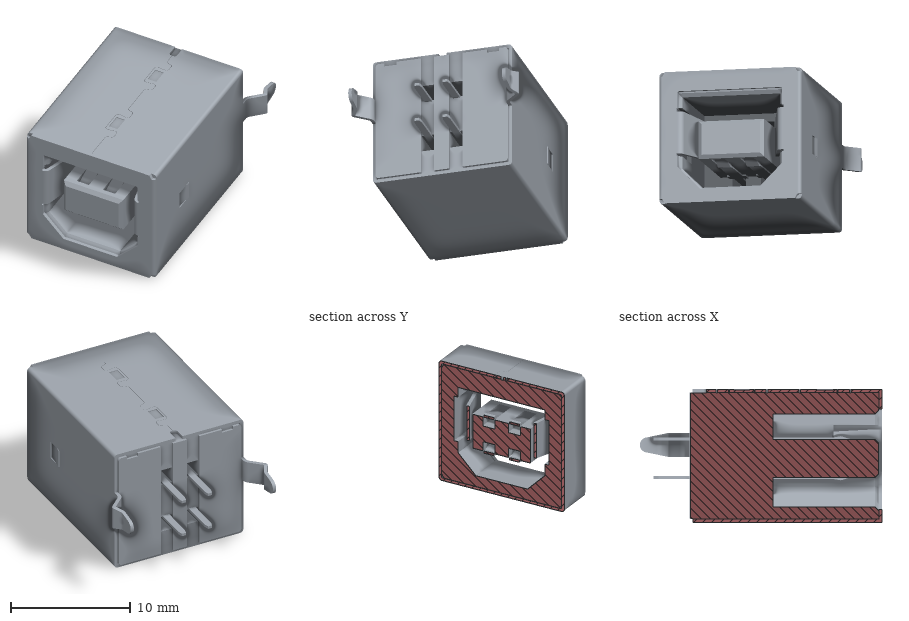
import cadquery as cq
import math


SHELL_WIDTH = 12.23
SHELL_HEIGHT = 11.2
SHELL_LENGTH = 15.91
SHEET = 0.3
INNER_WIDTH = SHELL_WIDTH - 2 * SHEET
INNER_HEIGHT = SHELL_HEIGHT - 2 * SHEET
SIDE_BEND_HEIGHT = 10.45
PLATE_CORNER_X = 5.59

CAVITY_WIDTH = 8.41
CAVITY_TOP = 3.5
CAVITY_BOTTOM = -4.29
CAVITY_CORNER = 1.69
CAVITY_DEPTH = 9.15
LEAD_IN = 0.3
OPENING_WIDTH = 8.98
OPENING_TOP = 3.92
OPENING_BOTTOM = -4.5
OPENING_CORNER = 1.95
OPENING_ROUND = 0.15

FLAP_MID_Z = 0.4
FLAP_HEIGHT = 3.6
FLAP_END_HEIGHT = 3.21
FLAP_BEND_RADIUS = 0.5
FLAP_TURN = math.radians(75)
FLAP_STRAIGHT = 3.85
RELIEF_WIDTH = 9.18
RELIEF_TOP = 2.44
RELIEF_BOTTOM = -1.55
HOUSING_RELIEF_TOP = 2.58
HOUSING_RELIEF_DEPTH = 4.06

OVERALL_LENGTH = 20.32
LEG_MID_Z = 0.9
LEG_WIDTH = 2.0
LEG_TIP_WIDTH = 1.22
LEG_TAPER_START = 17.98
LEG_TIP_START = 19.85
LEG_BEND_OUT = 16.66
LEG_KNEE = 17.88
LEG_BEND_BACK = 18.7
LEG_KNEE_X = 7.23
LEG_END_X = 6.75
LEG_BEND_RADIUS = 0.6
LEG_KNEE_RADIUS = 0.15

SEAM_GAP = 0.03
SEAM_ROUND = 0.26
LOCK_POSITIONS = (4.82, 11.79)
LOBE_REACH = 0.6
HEAD_REACH = 0.57
LOCK_HALF_LENGTH = 2.0
LOBE_HALF_LENGTH = 1.83
NECK_HALF_LENGTH = 0.95
HEAD_HALF_LENGTH = 1.14
LOCK_MARK_WIDTH = 0.8
LOCK_MARK_LENGTH = 1.36
LOCK_MARK_DEPTH = 0.06
SLOT_WIDTH = 0.67
SLOT_LENGTH = 1.15
SLOT_ROUND = 0.25

LATCH_FRONT = 4.45
LATCH_BACK = 6.1
LATCH_BOTTOM = -1.02
LATCH_TOP = 0.57
LATCH_CLEARANCE = 0.05
LATCH_FRONT_X = 5.95
LATCH_BACK_X = 6.18

HOUSING_BACK = 16.13
HOUSING_ROUND = 0.28
NOTCH_INNER_X = 3.98
NOTCH_OUTER_X = 5.04

TONGUE_WIDTH = 5.63
TONGUE_HEIGHT = 3.21
TONGUE_MID_Z = -0.22
TONGUE_TOP = TONGUE_MID_Z + TONGUE_HEIGHT / 2
TONGUE_CHAMFER = 0.3
CONTACT_X = 1.24
CHANNEL_WIDTH = 1.15
WINDOW_TOP = 2.8
GROOVE_START = 1.02
GROOVE_END = 4.06
GROOVE_DEPTH = 0.85
CONTACT_WIDTH = 1.05
CONTACT_THICKNESS = 0.25
CONTACT_START = 1.22
CONTACT_NOSE_Z = 0.7
CONTACT_KINK_Y = 1.73
CONTACT_KINK_Z = 0.98
CONTACT_PEAK_Y = 3.45
CONTACT_PEAK_Z = 1.5
CONTACT_Z = 1.4
SHOULDER_WIDTH = 1.6
SHOULDER_LENGTH = 1.02
PIN_WIDTH = 0.6
PIN_TIP_WIDTH = 0.39
PIN_TAPER = 0.43
PIN_END = 19.18


def block(x_range, y_range, z_range):
    """Box between the given limits."""
    x0, x1 = x_range
    y0, y1 = y_range
    z0, z1 = z_range
    return cq.Workplane("XY").box(x1 - x0, y1 - y0, z1 - z0, centered=False).translate((x0, y0, z0))


def both_sides(body):
    """The body together with its mirror image across the middle plane."""
    return body.union(body.mirror("YZ"))


def extrude_back(sketch, length):
    """Extrude a sketch drawn on an XZ plane toward +y."""
    return sketch.extrude(-length)


def socket_points(width, top, bottom, corner):
    """Socket outline in x and z: a rectangle with its lower corners cut at 45 degrees."""
    half = width / 2
    return [
        (-half, top),
        (half, top),
        (half, bottom + corner),
        (half - corner, bottom),
        (-half + corner, bottom),
        (-half, bottom + corner),
    ]



def shell_tube():
    """Four walls behind the front wall, with rounded long edges."""
    front = cq.Workplane("XZ", origin=(0, SHEET, 0))
    outer = extrude_back(front.rect(SHELL_WIDTH, SHELL_HEIGHT), SHELL_LENGTH - SHEET)
    inner = extrude_back(front.rect(INNER_WIDTH, INNER_HEIGHT), SHELL_LENGTH - SHEET)
    return outer.edges("|Y").fillet(SHEET).cut(inner)


def front_blank():
    """Front wall: side edges bent round into the side walls, the four corners cut back."""
    half_width = SHELL_WIDTH / 2
    half_bend = SIDE_BEND_HEIGHT / 2
    bent = block((-half_width, half_width), (0, 2 * SHEET), (-half_bend, half_bend))
    bent = bent.edges("|Z and <Y").fillet(SHEET)
    bent = bent.intersect(block((-half_width, half_width), (0, SHEET), (-half_bend, half_bend)))
    quarter = [
        (INNER_WIDTH / 2, half_bend),
        (PLATE_CORNER_X, SHELL_HEIGHT / 2),
    ]
    upper = quarter + [(-x, z) for x, z in reversed(quarter)]
    lower = [(-x, -z) for x, z in upper]
    flat = extrude_back(cq.Workplane("XZ").polyline(upper + lower).close(), SHEET)
    return bent.union(flat)


def front_plate():
    """Front wall with the socket opening and the relief slits beside the flaps."""
    outline = socket_points(OPENING_WIDTH, OPENING_TOP, OPENING_BOTTOM, OPENING_CORNER)
    opening = extrude_back(cq.Workplane("XZ").polyline(outline).close(), SHEET)
    opening = opening.edges("|Y").fillet(OPENING_ROUND)
    relief = block(
        (-RELIEF_WIDTH / 2, RELIEF_WIDTH / 2), (0, SHEET), (RELIEF_BOTTOM, RELIEF_TOP))
    return front_blank().cut(opening).cut(relief)


def guide_flap():
    """Left flap: it curls back from the opening edge and then slants toward the tongue."""
    root_x = -RELIEF_WIDTH / 2
    bend_x = -OPENING_WIDTH / 2
    inner_radius = FLAP_BEND_RADIUS - SHEET

    def on_bend(radius, angle):
        return bend_x + radius * math.sin(angle), FLAP_BEND_RADIUS - radius * math.cos(angle)

    def past_bend(radius):
        x, y = on_bend(radius, FLAP_TURN)
        return x + FLAP_STRAIGHT * math.cos(FLAP_TURN), y + FLAP_STRAIGHT * math.sin(FLAP_TURN)

    strip = (
        cq.Workplane("XY", origin=(0, 0, FLAP_MID_Z))
        .moveTo(root_x, 0)
        .lineTo(bend_x, 0)
        .threePointArc(on_bend(FLAP_BEND_RADIUS, FLAP_TURN / 2), on_bend(FLAP_BEND_RADIUS, FLAP_TURN))
        .lineTo(*past_bend(FLAP_BEND_RADIUS))
        .lineTo(*past_bend(inner_radius))
        .lineTo(*on_bend(inner_radius, FLAP_TURN))
        .threePointArc(on_bend(inner_radius, FLAP_TURN / 2), (bend_x, SHEET))
        .lineTo(root_x, SHEET)
        .close()
        .extrude(FLAP_HEIGHT / 2, both=True)
    )
    end_y = past_bend(inner_radius)[1]
    taper = (
        cq.Workplane("YZ", origin=(0, 0, FLAP_MID_Z))
        .polyline([
            (0, -FLAP_HEIGHT / 2),
            (FLAP_BEND_RADIUS, -FLAP_HEIGHT / 2),
            (end_y, -FLAP_END_HEIGHT / 2),
            (end_y, FLAP_END_HEIGHT / 2),
            (FLAP_BEND_RADIUS, FLAP_HEIGHT / 2),
            (0, FLAP_HEIGHT / 2),
        ])
        .close()
        .extrude(-SHELL_WIDTH / 2)
    )
    return strip.intersect(taper)


def mounting_leg():
    """Left leg: a bent strip that narrows to a rounded tip."""
    wall_x = -(SHELL_WIDTH - SHEET) / 2
    start_y = SHELL_LENGTH - SHEET
    path = cq.Wire.makePolygon([
        cq.Vector(wall_x, start_y, LEG_MID_Z),
        cq.Vector(wall_x, LEG_BEND_OUT, LEG_MID_Z),
        cq.Vector(-LEG_KNEE_X, LEG_KNEE, LEG_MID_Z),
        cq.Vector(-LEG_END_X, LEG_BEND_BACK, LEG_MID_Z),
        cq.Vector(-LEG_END_X, OVERALL_LENGTH, LEG_MID_Z),
    ])
    _, bend_out, _, bend_back, _ = sorted(path.Vertices(), key=lambda vertex: vertex.Y)
    path = path.fillet(LEG_BEND_RADIUS, [bend_out, bend_back])
    path = path.fillet(LEG_KNEE_RADIUS, [min(path.Vertices(), key=lambda vertex: vertex.X)])
    strip = (
        cq.Workplane("XY", origin=(0, 0, LEG_MID_Z))
        .add(path)
        .toPending()
        .offset2D(SHEET / 2)
        .extrude(LEG_WIDTH / 2, both=True)
    )
    outline = (
        cq.Workplane("YZ", origin=(0, 0, LEG_MID_Z))
        .moveTo(start_y, -LEG_WIDTH / 2)
        .lineTo(LEG_TAPER_START, -LEG_WIDTH / 2)
        .lineTo(LEG_TIP_START, -LEG_TIP_WIDTH / 2)
        .threePointArc((OVERALL_LENGTH, 0), (LEG_TIP_START, LEG_TIP_WIDTH / 2))
        .lineTo(LEG_TAPER_START, LEG_WIDTH / 2)
        .lineTo(start_y, LEG_WIDTH / 2)
        .close()
        .extrude(-LEG_KNEE_X - SHEET)
    )
    return strip.intersect(outline)


def seam_cut():
    """Thin ribbon along the joint of the two top halves, with dovetail locks."""
    base_z = INNER_HEIGHT / 2
    points = [(SHELL_WIDTH / 2, -SHELL_LENGTH), (0, -SHELL_LENGTH)]
    for lock_y in LOCK_POSITIONS:
        points += [
            (0, lock_y - LOCK_HALF_LENGTH),
            (LOBE_REACH, lock_y - LOBE_HALF_LENGTH),
            (LOBE_REACH, lock_y - NECK_HALF_LENGTH),
            (-HEAD_REACH, lock_y - HEAD_HALF_LENGTH),
            (-HEAD_REACH, lock_y + HEAD_HALF_LENGTH),
            (LOBE_REACH, lock_y + NECK_HALF_LENGTH),
            (LOBE_REACH, lock_y + LOBE_HALF_LENGTH),
            (0, lock_y + LOCK_HALF_LENGTH),
        ]
    points += [(0, 2 * SHELL_LENGTH), (SHELL_WIDTH / 2, 2 * SHELL_LENGTH)]
    right_half = cq.Workplane("XY", origin=(0, 0, base_z)).polyline(points).close().extrude(SHEET)
    right_half = right_half.edges("|Z").fillet(SEAM_ROUND)
    widened = right_half.faces("<Z").wires().toPending().offset2D(SEAM_GAP).extrude(SHEET)
    near_seam = block(
        (-2 * LOBE_REACH, 2 * LOBE_REACH), (SHEET, SHELL_LENGTH), (base_z, SHELL_HEIGHT / 2))
    return widened.cut(right_half).intersect(near_seam)


def lock_mark(lock_y):
    """Shallow rectangular mark pressed into the top of a lock."""
    top = SHELL_HEIGHT / 2
    return block(
        (-LOCK_MARK_WIDTH / 2, LOCK_MARK_WIDTH / 2),
        (lock_y - LOCK_MARK_LENGTH / 2, lock_y + LOCK_MARK_LENGTH / 2),
        (top - LOCK_MARK_DEPTH, top),
    )


def back_slot():
    """Round-cornered slot at the back end of the seam."""
    slot = block(
        (-SLOT_WIDTH / 2, SLOT_WIDTH / 2),
        (SHELL_LENGTH - SLOT_LENGTH, SHELL_LENGTH),
        (INNER_HEIGHT / 2, SHELL_HEIGHT / 2),
    )
    return slot.edges("|Z and <Y").fillet(SLOT_ROUND)


def build_shell():
    walls = shell_tube().cut(seam_cut()).cut(back_slot())
    for lock_y in LOCK_POSITIONS:
        walls = walls.cut(lock_mark(lock_y))
    half = SHELL_WIDTH / 2
    latch_windows = block((-half, half), (LATCH_FRONT, LATCH_BACK), (LATCH_BOTTOM, LATCH_TOP))
    walls = walls.cut(latch_windows)
    walls = walls.union(both_sides(mounting_leg()))
    front = front_plate().union(both_sides(guide_flap()))
    return walls.union(front, clean=False)



def contact_profile():
    """Side shape of an upper contact: a ramp over a peak, then a straight tail."""
    rise = CONTACT_THICKNESS / 2
    center = [
        (CONTACT_START, CONTACT_NOSE_Z),
        (CONTACT_KINK_Y, CONTACT_KINK_Z),
        (CONTACT_PEAK_Y, CONTACT_PEAK_Z),
        (GROOVE_END, CONTACT_Z),
        (PIN_END, CONTACT_Z),
    ]
    upper = [(y, z + rise) for y, z in center]
    lower = [(y, z - rise) for y, z in reversed(center)]
    return cq.Workplane("YZ").polyline(upper + lower).close().extrude(SHOULDER_WIDTH / 2, both=True)


def contact_plan():
    """Contact seen along z: blade, wide shoulder, then a pin with a tapered tip."""
    shoulder_start = CAVITY_DEPTH - SHOULDER_LENGTH
    right = [
        (CONTACT_WIDTH / 2, CONTACT_START),
        (CONTACT_WIDTH / 2, shoulder_start),
        (SHOULDER_WIDTH / 2, shoulder_start),
        (SHOULDER_WIDTH / 2, CAVITY_DEPTH),
        (PIN_WIDTH / 2, CAVITY_DEPTH),
        (PIN_WIDTH / 2, PIN_END - PIN_TAPER),
        (PIN_TIP_WIDTH / 2, PIN_END),
    ]
    left = [(-x, y) for x, y in reversed(right)]
    return cq.Workplane("XY").polyline(right + left).close().extrude(SHELL_HEIGHT / 2)


def build_contacts():
    """Two contacts above the tongue and two mirrored below it."""
    upper = contact_profile().intersect(contact_plan())
    lower = upper.mirror("XY", (0, 0, TONGUE_MID_Z))
    contacts = []
    for x in (-CONTACT_X, CONTACT_X):
        for contact in (upper, lower):
            contacts.append(contact.translate((x, 0, 0)))
    return contacts



def housing_body():
    """Plastic block that fills the shell and stands out a little at the back."""
    body = block(
        (-INNER_WIDTH / 2, INNER_WIDTH / 2),
        (SHEET, HOUSING_BACK),
        (-INNER_HEIGHT / 2, INNER_HEIGHT / 2),
    )
    return body.edges("|Y").fillet(HOUSING_ROUND)


def socket_cavity():
    """Socket space with a sloped lead-in at its mouth."""
    outline = socket_points(CAVITY_WIDTH, CAVITY_TOP, CAVITY_BOTTOM, CAVITY_CORNER)
    mouth_outline = socket_points(
        CAVITY_WIDTH + 2 * LEAD_IN,
        CAVITY_TOP + LEAD_IN,
        CAVITY_BOTTOM - LEAD_IN,
        CAVITY_CORNER + LEAD_IN * (2 - math.sqrt(2)),
    )
    front = cq.Workplane("XZ", origin=(0, SHEET, 0))
    cavity = extrude_back(front.polyline(outline).close(), CAVITY_DEPTH - SHEET)
    mouth = (
        front.polyline(mouth_outline)
        .close()
        .workplane(offset=-LEAD_IN)
        .polyline(outline)
        .close()
        .loft(ruled=True)
    )
    relief = block(
        (-RELIEF_WIDTH / 2, RELIEF_WIDTH / 2),
        (SHEET, HOUSING_RELIEF_DEPTH),
        (RELIEF_BOTTOM, HOUSING_RELIEF_TOP),
    )
    return cavity.union(mouth).union(relief)


def tongue():
    """Block in the middle of the socket with a chamfered front."""
    body = block(
        (-TONGUE_WIDTH / 2, TONGUE_WIDTH / 2),
        (SHEET, CAVITY_DEPTH),
        (TONGUE_MID_Z - TONGUE_HEIGHT / 2, TONGUE_TOP),
    )
    return body.faces("<Y").chamfer(TONGUE_CHAMFER)


def contact_channel():
    """Groove in the tongue, window through the back wall and slot in the back rim, at x = 0."""
    across = (-CHANNEL_WIDTH / 2, CHANNEL_WIDTH / 2)
    groove = block(across, (GROOVE_START, GROOVE_END), (TONGUE_TOP - GROOVE_DEPTH, TONGUE_TOP))
    window = block(across, (CAVITY_DEPTH, HOUSING_BACK), (TONGUE_TOP, WINDOW_TOP))
    upper = groove.union(window)
    rim_slot = block(across, (SHELL_LENGTH, HOUSING_BACK), (-INNER_HEIGHT / 2, INNER_HEIGHT / 2))
    return upper.union(upper.mirror("XY", (0, 0, TONGUE_MID_Z))).union(rim_slot)


def rim_notch():
    """Notch in the top of the back rim, left side."""
    top = INNER_HEIGHT / 2
    return block(
        (-NOTCH_OUTER_X, -NOTCH_INNER_X), (SHELL_LENGTH, HOUSING_BACK), (top - HOUSING_ROUND, top))


def latch():
    """Left wedge that rises toward the back through the window of the shell."""
    back = LATCH_BACK - LATCH_CLEARANCE
    return (
        cq.Workplane("XY", origin=(0, 0, LATCH_BOTTOM))
        .polyline([
            (-INNER_WIDTH / 2, LATCH_FRONT),
            (-LATCH_FRONT_X, LATCH_FRONT),
            (-LATCH_BACK_X, back),
            (-INNER_WIDTH / 2, back),
        ])
        .close()
        .extrude(LATCH_TOP - LATCH_BOTTOM)
    )


def build_housing(contacts):
    body = housing_body().cut(socket_cavity()).union(tongue())
    for x in (-CONTACT_X, CONTACT_X):
        body = body.cut(contact_channel().translate((x, 0, 0)))
    body = body.cut(both_sides(rim_notch())).union(both_sides(latch()))
    for contact in contacts:
        body = body.cut(contact)
    return body


shell = build_shell()
contacts = build_contacts()
housing = build_housing(contacts)

result = cq.Compound.makeCompound([
    shell.val(),
    housing.val(),
    *[contact.val() for contact in contacts],
])